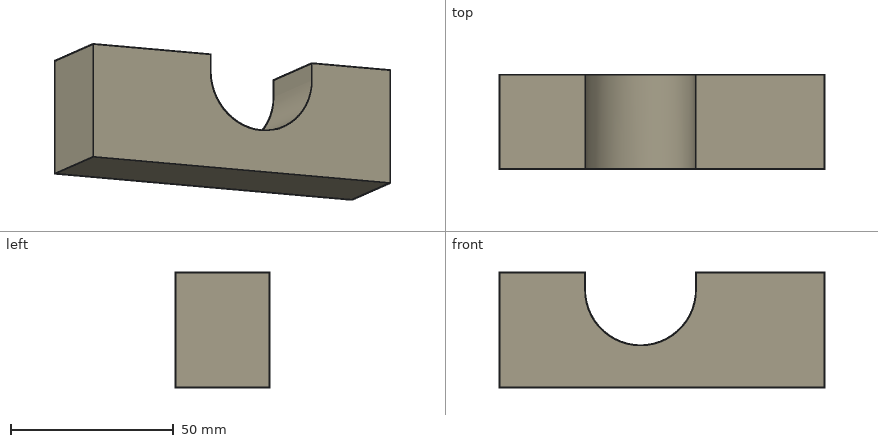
import cadquery as cq

length = 100.0
width = 29.0
height = 35.4

groove_radius = 17.0
groove_center_x = 43.4
groove_floor_z = 13.0

groove_left = groove_center_x - groove_radius
groove_right = groove_center_x + groove_radius
arc_center_z = groove_floor_z + groove_radius

profile = (
    cq.Workplane("XZ")
    .moveTo(0, 0)
    .lineTo(length, 0)
    .lineTo(length, height)
    .lineTo(groove_right, height)
    .lineTo(groove_right, arc_center_z)
    .threePointArc((groove_center_x, groove_floor_z), (groove_left, arc_center_z))
    .lineTo(groove_left, height)
    .lineTo(0, height)
    .close()
)

result = profile.extrude(width)